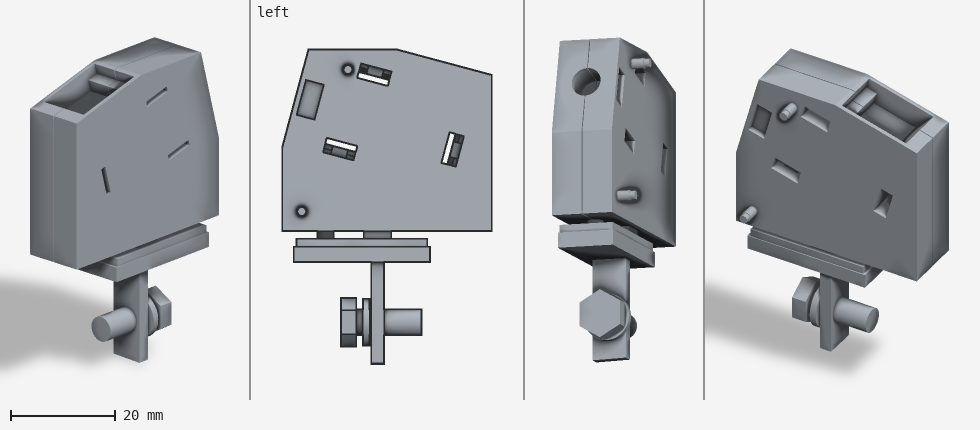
import cadquery as cq
import math


overall_height = 60.1

tilt = 15.0
housing_width = 12.1
parting_gap = 0.2
housing_length = 40.0
housing_height = 34.7
front_slope_start = -1.9
rear_slope_start = 15.0

recess_width = 10.35
recess_start = 0.95
recess_end = 15.75
landing_end = 3.4
landing_depth = 2.3
recess_depth = 4.85
ramp_foot = 12.85

entry_diameter = 5.75
entry_depth = 6.0
entry_z = 26.0

pocket_length = 6.9
pocket_width = 3.55
pocket_depth = 1.2
pocket_y = 14.65
pocket_z = 25.05

window_length = 6.0
window_width = 2.8
tongue_thickness = 1.7
tongue_recess = 2.4
nose_width = 3.0
shoulder_setback = 0.3
shoulder_bevel_width = 0.9
shoulder_bevel_length = 1.4
windows = [
    (2.4, 29.85, tilt),
    (8.95, 15.6, tilt + 180),
    (-12.55, 15.55, tilt + 90),
]

pin_diameter = 2.0
pin_tip_diameter = 1.7
pin_length = 3.6
pin_tip_length = 1.1
pin_places = [(7.45, 30.85), (16.3, 3.7)]

plate_y = 4.8
upper_step_size = (10.65, 25.0)
upper_step_top = -1.45
lower_step_size = (11.05, 26.1)
lower_step_top = -3.0
plate_bottom = -5.95
blade_y = 1.8
neck_size = (8.9, 5.3)
blade_size = (6.75, 2.45)
blade_bottom = housing_height - overall_height
blade_bottom_rise = 0.2
post_diameter = 3.2
post_y = 11.7

bolt_z = -17.4
shank_diameter = 5.0
shank_end_y = -6.6
head_rear_y = 8.85
head_thickness = 3.0
head_across_corners = 9.3
washer_diameter = 9.0
washer_thickness = 1.3
washer_front_y = 3.3

half_width = housing_width / 2
half_length = housing_length / 2
left_face = -half_width
front_corner_z = housing_height - (front_slope_start + half_length) * math.tan(math.radians(tilt))
rear_corner_z = housing_height - (half_length - rear_slope_start) / math.tan(math.radians(tilt))


def side_plane(x, y=0.0, z=0.0, turn=0.0):
    """Plane facing -X, seen with -Y to its right and Z up, then turned clockwise."""
    angle = math.radians(turn)
    right = (0, -math.cos(angle), -math.sin(angle))
    return cq.Plane(origin=(x, y, z), xDir=right, normal=(-1, 0, 0))


def block(size, y, bottom, top):
    """Upright block centred on X = 0."""
    return cq.Workplane("XY").box(*size, top - bottom, centered=(True, True, False)).translate((0, y, bottom))


def rod(diameter, rear_y, front_y):
    """Round bar along the bolt axis."""
    plane = cq.Plane(origin=(0, rear_y, bolt_z), xDir=(1, 0, 0), normal=(0, -1, 0))
    return cq.Workplane(plane).circle(diameter / 2).extrude(rear_y - front_y)


def front_recess():
    plane = side_plane(recess_width / 2, front_slope_start, housing_height, tilt)
    profile = [
        (recess_start, 0),
        (recess_start, -landing_depth),
        (landing_end, -landing_depth),
        (landing_end, -recess_depth),
        (ramp_foot, -recess_depth),
        (recess_end, 0),
    ]
    return cq.Workplane(plane).polyline(profile).close().extrude(recess_width)


def rear_entry():
    angle = math.radians(tilt)
    entry_y = half_length - (entry_z - rear_corner_z) * math.tan(angle)
    inward = (0, -math.cos(angle), -math.sin(angle))
    plane = cq.Plane(origin=(0, entry_y, entry_z), xDir=(1, 0, 0), normal=inward)
    return cq.Workplane(plane).circle(entry_diameter / 2).extrude(entry_depth)


def housing_half(x_from, x_to):
    """Slice of the housing with its share of the front recess and the rear entry."""
    outline = [
        (-half_length, 0),
        (-half_length, front_corner_z),
        (front_slope_start, housing_height),
        (rear_slope_start, housing_height),
        (half_length, rear_corner_z),
        (half_length, 0),
    ]
    slab = cq.Workplane("YZ", origin=(x_from, 0, 0)).polyline(outline).close().extrude(x_to - x_from)
    return slab.cut(front_recess()).cut(rear_entry())


def window_bar(window, low, high, x_from, x_to):
    """Bar over the whole window length, between two heights across the window."""
    bar = cq.Workplane(side_plane(x_to, *window)).center(0, (low + high) / 2)
    return bar.rect(window_length, high - low).extrude(x_to - x_from)


def tongue(window):
    """Latch tongue along the outer side of a window: a square nose between two bevelled shoulders."""
    outer = window_width / 2
    inner = outer - tongue_thickness
    tip = left_face + tongue_recess
    waste = [
        (inner, 0),
        (outer, 0),
        (outer, -shoulder_setback),
        (inner + shoulder_bevel_width, -shoulder_setback),
        (inner, -shoulder_setback - shoulder_bevel_length),
    ]
    plane = side_plane(tip, *window)
    shoulder_width = (window_length - nose_width) / 2
    body = window_bar(window, inner, outer, tip, parting_gap / 2)
    for start in (-window_length / 2, nose_width / 2):
        corner = plane.toWorldCoords((start, 0, 0)).toTuple()
        profile_plane = cq.Plane(origin=corner, xDir=plane.yDir, normal=plane.xDir)
        body = body.cut(cq.Workplane(profile_plane).polyline(waste).close().extrude(shoulder_width))
    return body


def pin(y, z):
    shoulder_length = pin_length - pin_tip_length
    shoulder = cq.Workplane(side_plane(left_face, y, z)).circle(pin_diameter / 2).extrude(shoulder_length)
    return shoulder.faces("<X").workplane().circle(pin_tip_diameter / 2).extrude(pin_tip_length)


def make_left_half():
    inner_face = -parting_gap / 2
    half = housing_half(left_face, inner_face)
    for window in windows:
        half = half.cut(window_bar(window, -window_width / 2, window_width / 2, left_face, inner_face))
    pocket_plane = side_plane(left_face + pocket_depth, pocket_y, pocket_z, tilt)
    half = half.cut(cq.Workplane(pocket_plane).rect(pocket_width, pocket_length).extrude(pocket_depth))
    for y, z in pin_places:
        half = half.union(pin(y, z))
    return half


def make_right_half():
    inner_face = parting_gap / 2
    half = housing_half(inner_face, half_width)
    opening_top = window_width / 2 - tongue_thickness
    for window in windows:
        half = half.cut(window_bar(window, -window_width / 2, opening_top, inner_face, half_width))
        half = half.union(tongue(window))
    return half


def blade():
    half_blade, thickness = blade_size[0] / 2, blade_size[1]
    outline = [
        (-half_blade, plate_bottom),
        (half_blade, plate_bottom),
        (half_blade, blade_bottom),
        (-half_blade, blade_bottom + blade_bottom_rise),
    ]
    rear_y = blade_y + thickness / 2
    return cq.Workplane("XZ", origin=(0, rear_y, 0)).polyline(outline).close().extrude(thickness)


def make_terminal():
    terminal = block(lower_step_size, plate_y, plate_bottom, lower_step_top)
    terminal = terminal.union(block(upper_step_size, plate_y, lower_step_top, upper_step_top))
    terminal = terminal.union(block(neck_size, blade_y, upper_step_top, 0))
    terminal = terminal.union(blade())
    post = cq.Workplane("XY", origin=(0, post_y, upper_step_top)).circle(post_diameter / 2)
    terminal = terminal.union(post.extrude(-upper_step_top))
    return terminal.cut(rod(shank_diameter, head_rear_y, shank_end_y))


def make_bolt():
    head_plane = cq.Plane(origin=(0, head_rear_y, bolt_z), xDir=(0, 0, 1), normal=(0, -1, 0))
    head = cq.Workplane(head_plane).polygon(6, head_across_corners).extrude(head_thickness)
    return head.union(rod(shank_diameter, head_rear_y - head_thickness, shank_end_y))


def make_washer():
    washer = rod(washer_diameter, washer_front_y + washer_thickness, washer_front_y)
    return washer.cut(rod(shank_diameter, head_rear_y, shank_end_y))


left_half = make_left_half()
right_half = make_right_half()
terminal = make_terminal()
bolt = make_bolt()
washer = make_washer()

result = cq.Compound.makeCompound([
    left_half.val(),
    right_half.val(),
    terminal.val(),
    bolt.val(),
    washer.val(),
])